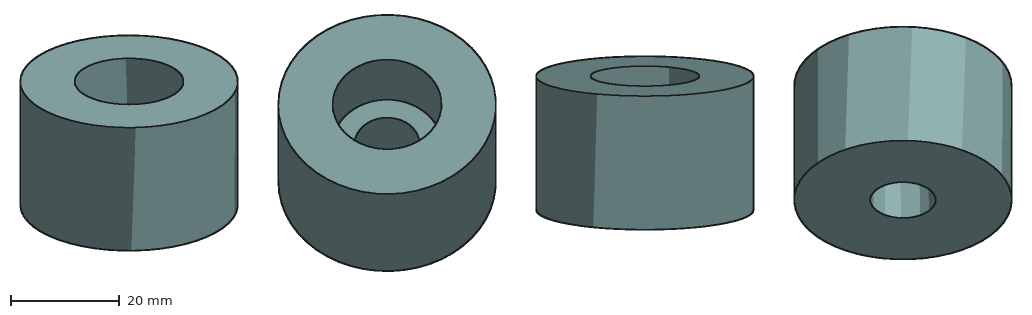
import cadquery as cq

outer_diameter = 40
height = 25.0
bore_diameter = 12
counterbore_diameter = 20
counterbore_depth = 13.0

body = cq.Workplane("XY").circle(outer_diameter / 2).extrude(height)

result = body.faces(">Z").workplane().cboreHole(bore_diameter, counterbore_diameter, counterbore_depth)